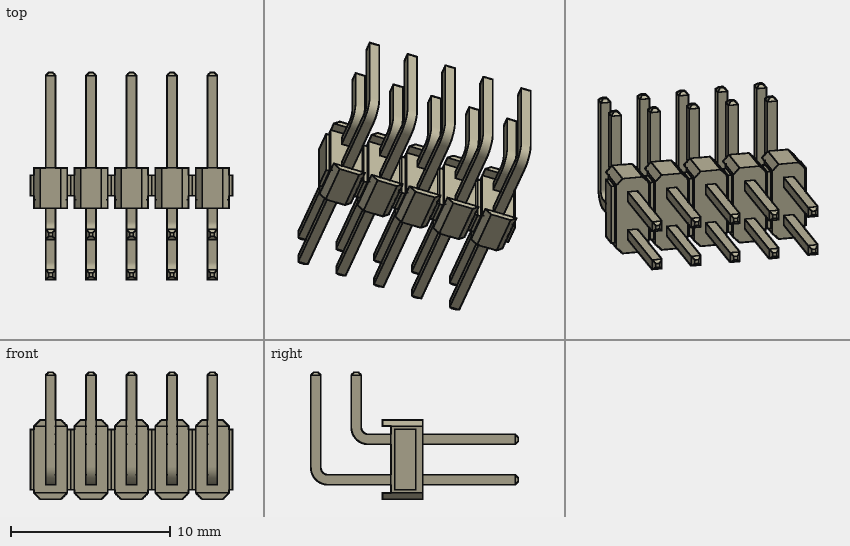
import cadquery as cq


module_count = 5
pitch = 2.54

housing_width = 2.1
housing_height = 5.0
housing_depth = 2.54
corner_chamfer = 0.4
core_depth = 2.0
core_height = housing_height - 2 * corner_chamfer
lip_overhang = housing_depth - core_depth

web_depth = 1.3
web_back_offset = 0.45
web_height = 3.8

pin_size = 0.64
pin_tip_chamfer = 0.2
pin_bend_inner_radius = 0.45
pin_bend_outer_radius = pin_bend_inner_radius + pin_size
pin_back_length = 6.0
pin_top_height = 8.0
upper_pin_height = (housing_height + pitch) / 2
lower_pin_height = upper_pin_height - pitch
upper_pin_reach = 4.18
lower_pin_reach = upper_pin_reach + pitch


def make_housing():
    """Block with chamfered long edges, its front set back between a top and a bottom lip."""
    block = (
        cq.Workplane("XY")
        .box(housing_width, housing_depth, housing_height)
        .edges("|Y")
        .chamfer(corner_chamfer)
        .translate((0, -housing_depth / 2, housing_height / 2))
    )
    front_recess = cq.Workplane("XY").box(housing_width, lip_overhang, core_height)
    recess_center_y = -core_depth - lip_overhang / 2
    return block.cut(front_recess.translate((0, recess_center_y, housing_height / 2)))


def make_web():
    """Plate spanning one full pitch, so that adjacent modules touch."""
    web_center_y = -web_back_offset - web_depth / 2
    web = cq.Workplane("XY").box(pitch, web_depth, web_height)
    return web.translate((0, web_center_y, housing_height / 2))


def make_pin(axis_height, reach):
    """Square pin running forward at axis_height, bent upward at a distance reach from the back face."""
    bottom = axis_height - pin_size / 2
    top = axis_height + pin_size / 2
    front = -reach - pin_size / 2
    rear = -reach + pin_size / 2
    bend_y = front + pin_bend_outer_radius
    bend_z = bottom + pin_bend_outer_radius
    pin = (
        cq.Workplane("YZ")
        .moveTo(pin_back_length, bottom)
        .lineTo(bend_y, bottom)
        .radiusArc((front, bend_z), pin_bend_outer_radius)
        .lineTo(front, pin_top_height)
        .lineTo(rear, pin_top_height)
        .lineTo(rear, bend_z)
        .radiusArc((bend_y, top), -pin_bend_inner_radius)
        .lineTo(pin_back_length, top)
        .close()
        .extrude(pin_size / 2, both=True)
    )
    pin = pin.faces(">Y").chamfer(pin_tip_chamfer)
    return pin.faces(">Z").chamfer(pin_tip_chamfer)


def make_module():
    """One column of the header: housing, web and two pins as a single solid."""
    upper_pin = make_pin(upper_pin_height, upper_pin_reach)
    lower_pin = make_pin(lower_pin_height, lower_pin_reach)
    return make_housing().union(make_web()).union(upper_pin).union(lower_pin)


module = make_module()
first_module_x = -(module_count - 1) * pitch / 2
modules = []
for index in range(module_count):
    placed_module = module.translate((first_module_x + index * pitch, 0, 0))
    modules.append(placed_module.val())

result = cq.Compound.makeCompound(modules)